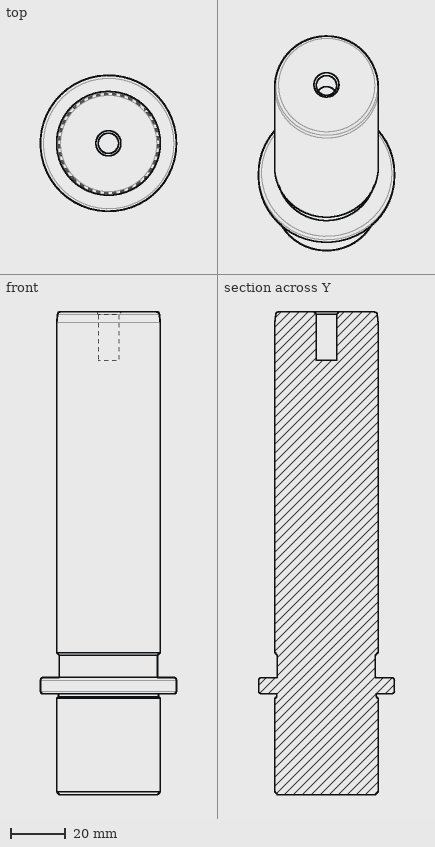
import cadquery as cq

total_length = 177.0
shaft_diameter = 38.0
shaft_radius = shaft_diameter / 2
edge_chamfer = 1.0

flange_radius = 25.0
flange_bottom = 37.0
flange_thickness = 6.0
flange_rounding = 1.0
flange_top = flange_bottom + flange_thickness

upper_neck_radius = 18.0
upper_neck_length = 8.1
upper_neck_end = flange_top + upper_neck_length
lower_neck_radius = 18.4
lower_neck_length = 1.0
lower_neck_end = flange_bottom - lower_neck_length

taper_start = total_length - 3.9
taper_end_radius = 18.5
top_rounding = 1.0

hole_radius = 3.7
hole_depth = 17.7
countersink = 0.9


def turned_body():
    upper_step = shaft_radius - upper_neck_radius
    lower_step = shaft_radius - lower_neck_radius
    profile = [
        (0, 0),
        (shaft_radius - edge_chamfer, 0),
        (shaft_radius, edge_chamfer),
        (shaft_radius, lower_neck_end - lower_step),
        (lower_neck_radius, lower_neck_end),
        (lower_neck_radius, flange_bottom),
        (flange_radius, flange_bottom),
        (flange_radius, flange_top),
        (upper_neck_radius, flange_top),
        (upper_neck_radius, upper_neck_end),
        (shaft_radius, upper_neck_end + upper_step),
        (shaft_radius, taper_start),
        (taper_end_radius, total_length),
        (0, total_length),
    ]
    body = cq.Workplane("XZ").polyline(profile).close().revolve(360, (0, 0), (0, 1))
    rim_edges = body.edges(cq.selectors.RadiusNthSelector(-1))
    body = rim_edges.fillet(flange_rounding)
    return body.faces(">Z").edges().fillet(top_rounding)


def centre_hole():
    hole_bottom = total_length - hole_depth
    profile = [
        (0, hole_bottom),
        (hole_radius, hole_bottom),
        (hole_radius, total_length - countersink),
        (hole_radius + countersink, total_length),
        (0, total_length),
    ]
    return cq.Workplane("XZ").polyline(profile).close().revolve(360, (0, 0), (0, 1))


result = turned_body().cut(centre_hole())